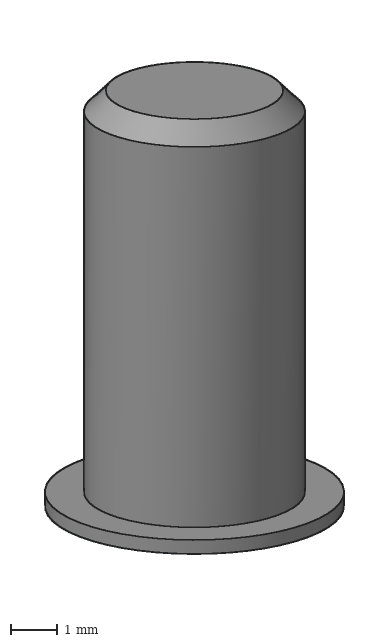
import cadquery as cq

total_height = 9.53
flange_diameter = 6.5
flange_thickness = 0.32
body_diameter = 4.8
tip_chamfer = 0.48

flange = cq.Workplane("XY").circle(flange_diameter / 2).extrude(flange_thickness)

body = (
    cq.Workplane("XY")
    .circle(body_diameter / 2)
    .extrude(total_height)
    .faces(">Z")
    .chamfer(tip_chamfer)
)

result = flange.union(body)